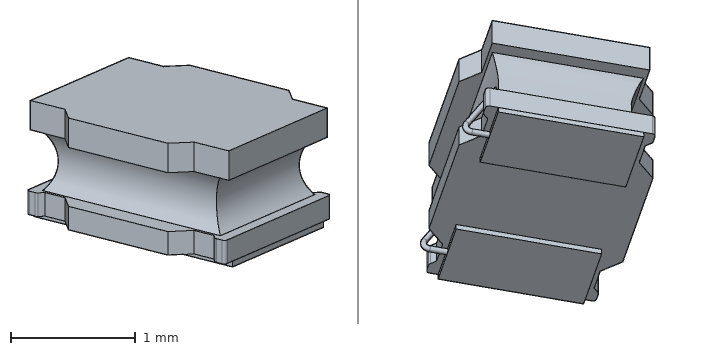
import cadquery as cq
import math

LENGTH = 2.0
DEPTH = 1.6
HEIGHT = 1.0
NOTCH = 0.15
LOBE_LENGTH = 1.0
TOP_FLANGE_THICKNESS = 0.25
BOTTOM_FLANGE_THICKNESS = 0.2
POST_DIAMETER = 1.0

TAB_REACH = 0.05
TAB_ROOT_LENGTH = 0.15
TAB_ROUNDING = 0.03

TERMINAL_LENGTH = 0.6
TERMINAL_DEPTH = 1.2
TERMINAL_THICKNESS = 0.05

WINDING_LENGTH = 1.79
WINDING_DEPTH = 1.245
END_HOLLOW = 0.098
SIDE_HOLLOW = 0.075

WIRE_DIAMETER = 0.05
WIRE_X = 0.7
WIRE_BEND_RADIUS = 0.05
WIRE_OVERHANG = 0.02
WIRE_SLOPE = 60.0

bottom_flange_z = TERMINAL_THICKNESS
winding_bottom_z = bottom_flange_z + BOTTOM_FLANGE_THICKNESS
winding_top_z = HEIGHT - TOP_FLANGE_THICKNESS
winding_height = winding_top_z - winding_bottom_z
winding_mid_z = (winding_bottom_z + winding_top_z) / 2
notched_depth = DEPTH - 2 * NOTCH


def make_flange(base_z, thickness):
    """Rectangular plate with a tapered lobe in the middle of each long side."""
    lobe_x = LOBE_LENGTH / 2
    lobe_y = DEPTH / 2
    lobe = (
        cq.Workplane("XY")
        .workplane(offset=base_z)
        .polyline([
            (lobe_x, lobe_y),
            (lobe_x + NOTCH, lobe_y - NOTCH),
            (lobe_x + NOTCH, NOTCH - lobe_y),
            (lobe_x, -lobe_y),
            (-lobe_x, -lobe_y),
            (-lobe_x - NOTCH, NOTCH - lobe_y),
            (-lobe_x - NOTCH, lobe_y - NOTCH),
            (-lobe_x, lobe_y),
        ])
        .close()
        .extrude(thickness)
    )
    plate = cq.Workplane("XY").box(LENGTH, notched_depth, thickness, centered=(True, True, False))
    return plate.translate((0, 0, base_z)).union(lobe)


def make_end_bar():
    """Bar along the +X end of the bottom flange; its two ends are the corner tabs."""
    outer_x = LENGTH / 2
    root_x = outer_x - TAB_ROOT_LENGTH
    root_y = notched_depth / 2
    tip_x = root_x + TAB_REACH
    tip_y = root_y + TAB_REACH
    bar = (
        cq.Workplane("XY")
        .workplane(offset=bottom_flange_z)
        .polyline([
            (root_x, root_y),
            (tip_x, tip_y),
            (outer_x, tip_y),
            (outer_x, -tip_y),
            (tip_x, -tip_y),
            (root_x, -root_y),
        ])
        .close()
        .extrude(BOTTOM_FLANGE_THICKNESS)
    )
    tip_edges = cq.selectors.BoxSelector(
        (tip_x - TAB_REACH / 2, -DEPTH, 0), (LENGTH, DEPTH, HEIGHT)
    )
    return bar.edges("|Z").edges(tip_edges).fillet(TAB_ROUNDING)


def make_post():
    post = cq.Workplane("XY").circle(POST_DIAMETER / 2).extrude(winding_height)
    return post.translate((0, 0, winding_bottom_z))


def make_core():
    """Drum core: two flanges joined by a round post."""
    end_bar = make_end_bar()
    return (
        make_flange(bottom_flange_z, BOTTOM_FLANGE_THICKNESS)
        .union(end_bar)
        .union(end_bar.mirror("YZ"))
        .union(make_post())
        .union(make_flange(winding_top_z, TOP_FLANGE_THICKNESS))
    )


def make_waisted_bar(plane, width, hollow, bar_length):
    """Bar whose section narrows along an arc on both sides towards mid height."""
    edge = width / 2
    waist = edge - hollow
    return (
        cq.Workplane(plane)
        .moveTo(-edge, winding_bottom_z)
        .lineTo(edge, winding_bottom_z)
        .threePointArc((waist, winding_mid_z), (edge, winding_top_z))
        .lineTo(-edge, winding_top_z)
        .threePointArc((-waist, winding_mid_z), (-edge, winding_bottom_z))
        .close()
        .extrude(bar_length / 2, both=True)
    )


def make_winding_envelope():
    along_y = make_waisted_bar("XZ", WINDING_LENGTH, END_HOLLOW, DEPTH)
    along_x = make_waisted_bar("YZ", WINDING_DEPTH, SIDE_HOLLOW, LENGTH)
    return along_y.intersect(along_x)


def make_terminal(side):
    """Flat pad under one end of the core; side is -1 or 1."""
    pad = cq.Workplane("XY").box(
        TERMINAL_LENGTH, TERMINAL_DEPTH, TERMINAL_THICKNESS, centered=(True, True, False)
    )
    return pad.translate((side * (LENGTH - TERMINAL_LENGTH) / 2, 0, 0))


def make_wire(side, winding_envelope):
    """Lead from the back edge of a terminal, bent up and over to meet the winding."""
    radius = WIRE_DIAMETER / 2
    start_y = TERMINAL_DEPTH / 2
    bend_y = DEPTH / 2 + WIRE_OVERHANG - radius - WIRE_BEND_RADIUS
    bend_z = radius + WIRE_BEND_RADIUS
    slope = math.radians(WIRE_SLOPE)
    bend_end_y = bend_y + WIRE_BEND_RADIUS * math.sin(slope)
    bend_end_z = bend_z + WIRE_BEND_RADIUS * math.cos(slope)

    inner_y = WINDING_DEPTH / 2 - SIDE_HOLLOW - WIRE_DIAMETER
    inner_z = bend_end_z + (bend_end_y - inner_y) * math.tan(slope)
    path = (
        cq.Workplane("YZ", origin=(side * WIRE_X, 0, 0))
        .moveTo(start_y, radius)
        .lineTo(bend_y, radius)
        .threePointArc((bend_y + WIRE_BEND_RADIUS * math.cos(slope / 2),
                        bend_z - WIRE_BEND_RADIUS * math.sin(slope / 2)),
                       (bend_end_y, bend_end_z))
        .lineTo(inner_y, inner_z)
    )
    wire = (
        cq.Workplane("XZ", origin=(side * WIRE_X, start_y, radius))
        .circle(radius)
        .sweep(path)
    )
    return wire.cut(winding_envelope)


winding_envelope = make_winding_envelope()
core = make_core()
winding = winding_envelope.cut(make_post())
terminals = [make_terminal(side) for side in (-1, 1)]
wires = [make_wire(side, winding_envelope) for side in (-1, 1)]

result = cq.Compound.makeCompound([
    core.solids().val(),
    winding.solids().val(),
    *[terminal.solids().val() for terminal in terminals],
    *[wire.solids().val() for wire in wires],
])